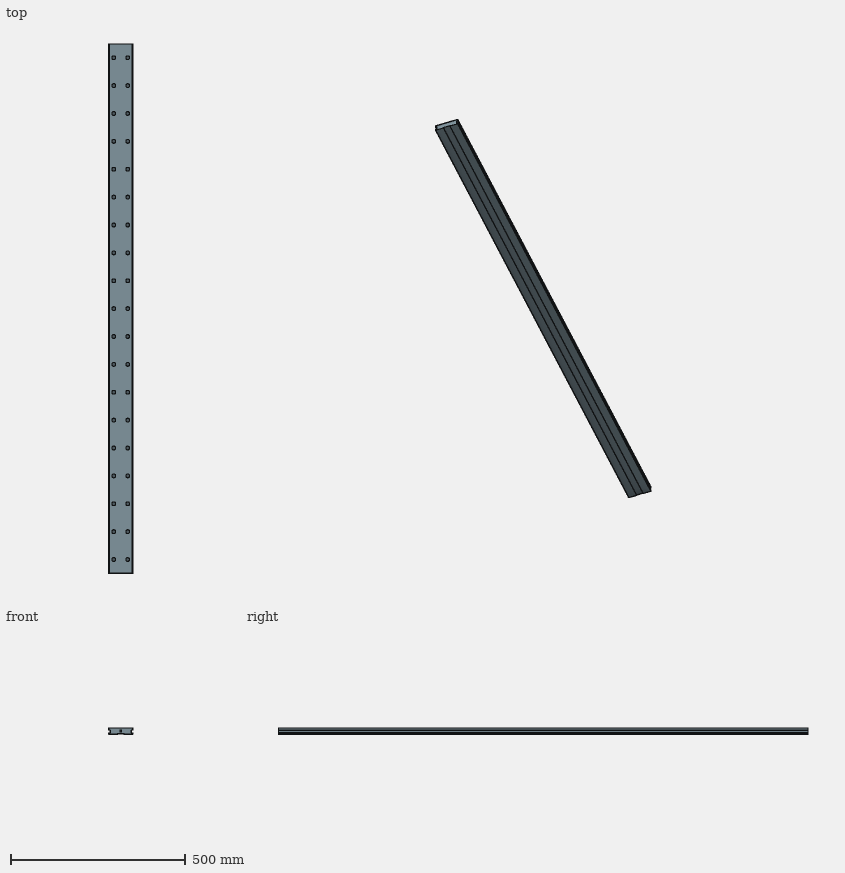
import cadquery as cq

width = 69.0
length = 1520.0
height = 19.0

top_chamfer_width = 2.5
top_chamfer_drop = 1.0
bottom_chamfer = 0.8

side_groove_bottom = 3.7
side_groove_top = 13.3
side_groove_depth = 4.3
side_groove_taper = 2.1

relief_width = 20.0
relief_depth = 1.5

hole_pitch = 80.0
hole_count = round(length / hole_pitch)
row_spacing = 40.0
hole_diameter = 11.0
hole_depth = 9.0

end_hole_diameter = 5.6
end_hole_height = 9.9
end_hole_depth = 20.0


def make_rail():
    """Extrude the symmetric cross section along Y."""
    half_width = width / 2
    groove_floor = half_width - side_groove_depth
    right_half = [
        (relief_width / 2, relief_depth),
        (relief_width / 2, 0),
        (half_width - bottom_chamfer, 0),
        (half_width, bottom_chamfer),
        (half_width, side_groove_bottom),
        (groove_floor, side_groove_bottom + side_groove_taper),
        (groove_floor, side_groove_top - side_groove_taper),
        (half_width, side_groove_top),
        (half_width, height - top_chamfer_drop),
        (half_width - top_chamfer_width, height),
    ]
    left_half = [(-x, z) for x, z in reversed(right_half)]
    section = cq.Workplane("XZ").polyline(right_half + left_half).close()
    return section.extrude(length / 2, both=True)


def drill_top_holes(rail):
    """Drill both rows of blind holes down from the top face."""
    top_plane = rail.faces(">Z").workplane(origin=(0, 0, height))
    hole_grid = top_plane.rarray(row_spacing, hole_pitch, 2, hole_count)
    return hole_grid.hole(hole_diameter, hole_depth)


def drill_end_hole(rail):
    """Drill the blind hole into the -Y end face on the rail's centre plane."""
    end_plane = rail.faces("<Y").workplane(origin=(0, -length / 2, end_hole_height))
    return end_plane.hole(end_hole_diameter, end_hole_depth)


result = drill_end_hole(drill_top_holes(make_rail()))